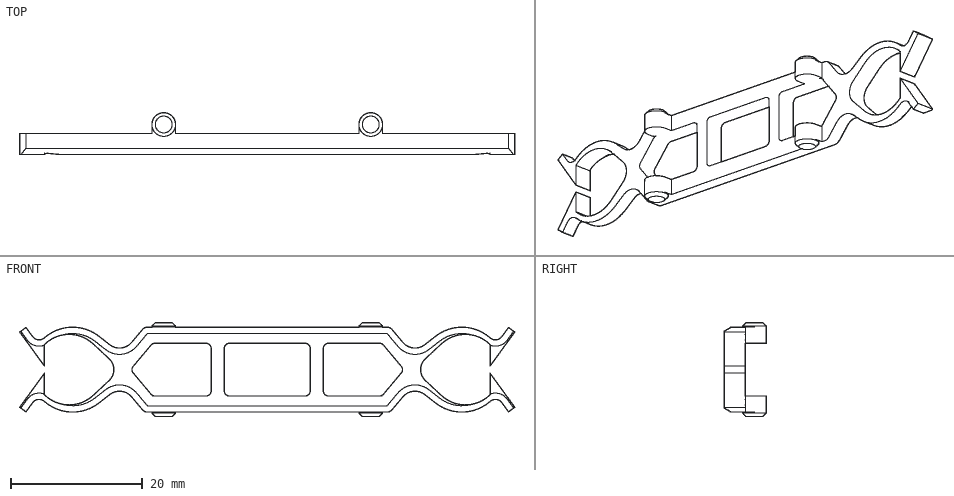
import cadquery as cq
import math

half_length = 37.6
half_height = 6.5
thickness = 3.2
edge_chamfer = 1.0

shoulder_x = 18.65
end_slope = math.radians(50)
shoulder_round = 1.05
waist_round = 2.4

loop_x = 29.55
flank_slope = math.radians(38)
opening_x = 30.1
opening_radius = 5.35
opening_slope = math.radians(43)
nose_round = 2.25

arm_slope = math.radians(54)
arm_width = 1.2
arm_tip_z = 5.7
lug_x = 33.8
arm_round = 1.2

window_half_height = 4.0
window_round = 0.75
window_point_x = 20.75
strut_x = 7.5
strut_width = 2.0

peg_x = 15.7
peg_radius = 1.8
peg_reach = 3.15
peg_top = 7.15
peg_chamfer = 0.5


def loop_point(center_x, radius, slope):
    """Point on an arc centred at (center_x, 0) where its tangent falls toward the beam at the slope."""
    return (center_x + radius * math.sin(slope), radius * math.cos(slope))


def quarter_blank():
    """Upper left quarter of the frame without openings, chamfered along its outer front edge."""
    flank_x, flank_z = loop_point(-loop_x, half_height, flank_slope)
    fall = math.tan(flank_slope)
    rise = math.tan(end_slope)
    waist_x = (flank_z + fall * flank_x - half_height - rise * shoulder_x) / (fall + rise)
    waist_z = flank_z - fall * (waist_x - flank_x)

    tip = (-half_length, arm_tip_z)
    outer_tip = (tip[0] + arm_width * math.sin(arm_slope), tip[1] + arm_width * math.cos(arm_slope))
    lug_point_z = arm_tip_z - (half_length - lug_x) * math.tan(arm_slope)

    along_x, along_z = math.cos(arm_slope), -math.sin(arm_slope)
    from_x, from_z = outer_tip[0] + loop_x, outer_tip[1]
    nearest = -(from_x * along_x + from_z * along_z)
    run = nearest - math.sqrt(nearest**2 - from_x**2 - from_z**2 + half_height**2)
    arm_root = (outer_tip[0] + run * along_x, outer_tip[1] + run * along_z)

    blank = (
        cq.Workplane("XZ")
        .moveTo(0, 0)
        .lineTo(0, half_height)
        .lineTo(-shoulder_x, half_height)
        .lineTo(waist_x, waist_z)
        .lineTo(flank_x, flank_z)
        .threePointArc((-loop_x, half_height), arm_root)
        .lineTo(*outer_tip)
        .lineTo(*tip)
        .lineTo(-lug_x, lug_point_z)
        .lineTo(-lug_x, 0)
        .close()
        .extrude(-thickness)
    )
    corners = [
        ((-shoulder_x, half_height), shoulder_round),
        ((waist_x, waist_z), waist_round),
        (arm_root, arm_round),
    ]
    for (x, z), radius in corners:
        corner_edge = cq.selectors.NearestToPointSelector((x, thickness / 2, z))
        blank = blank.edges("|Y").edges(corner_edge).fillet(radius)

    beam_edge = cq.selectors.NearestToPointSelector((-shoulder_x / 2, 0, half_height))
    return blank.edges(beam_edge).chamfer(edge_chamfer)


def loop_opening():
    """Cutter for the left loop: round, flat at the lugs, narrowing to a round nose at the waist."""
    lug_top_z = math.sqrt(opening_radius**2 - (lug_x - opening_x) ** 2)
    flank_x, flank_z = loop_point(-opening_x, opening_radius, opening_slope)
    nose_x = -opening_x + (opening_radius - nose_round) / math.sin(opening_slope)
    nose_side_x, nose_side_z = loop_point(nose_x, nose_round, opening_slope)
    return (
        cq.Workplane("XZ")
        .moveTo(-lug_x, -lug_top_z)
        .lineTo(-lug_x, lug_top_z)
        .threePointArc((-opening_x, opening_radius), (flank_x, flank_z))
        .lineTo(nose_side_x, nose_side_z)
        .threePointArc((nose_x + nose_round, 0), (nose_side_x, -nose_side_z))
        .lineTo(flank_x, -flank_z)
        .threePointArc((-opening_x, -opening_radius), (-lug_x, -lug_top_z))
        .close()
        .extrude(-thickness)
    )


def mirrored(solid):
    """The solid joined with its mirror images left to right and top to bottom."""
    half = solid.union(solid.mirror("YZ"))
    return half.union(half.mirror("XY"))


def window(points):
    """Through cutter with rounded corners."""
    return cq.Workplane("XZ").polyline(points).close().extrude(-thickness).edges("|Y").fillet(window_round)


def windows():
    """Rectangular middle window and two outer windows that taper to a point."""
    inner_x = strut_x - strut_width / 2
    outer_x = strut_x + strut_width / 2
    taper_x = window_point_x - window_half_height / math.tan(end_slope)
    top = window_half_height
    middle = window([(-inner_x, -top), (inner_x, -top), (inner_x, top), (-inner_x, top)])
    left = window(
        [(-outer_x, -top), (-outer_x, top), (-taper_x, top), (-window_point_x, 0), (-taper_x, -top)]
    )
    return middle.union(left).union(left.mirror("YZ"))


def peg():
    """Upper left peg: upright cylinder behind the beam, joined to it by a block of equal width."""
    center_y = thickness + peg_reach - peg_radius
    cylinder = (
        cq.Workplane("XY", origin=(-peg_x, center_y, window_half_height))
        .circle(peg_radius)
        .extrude(peg_top - window_half_height)
        .faces(">Z")
        .chamfer(peg_chamfer)
    )
    block = (
        cq.Workplane("XY", origin=(-peg_x, (thickness + center_y) / 2, window_half_height))
        .rect(2 * peg_radius, center_y - thickness)
        .extrude(half_height - window_half_height)
    )
    return cylinder.union(block)


opening = loop_opening()
frame = mirrored(quarter_blank()).cut(windows()).cut(opening).cut(opening.mirror("YZ"))
result = frame.union(mirrored(peg()))